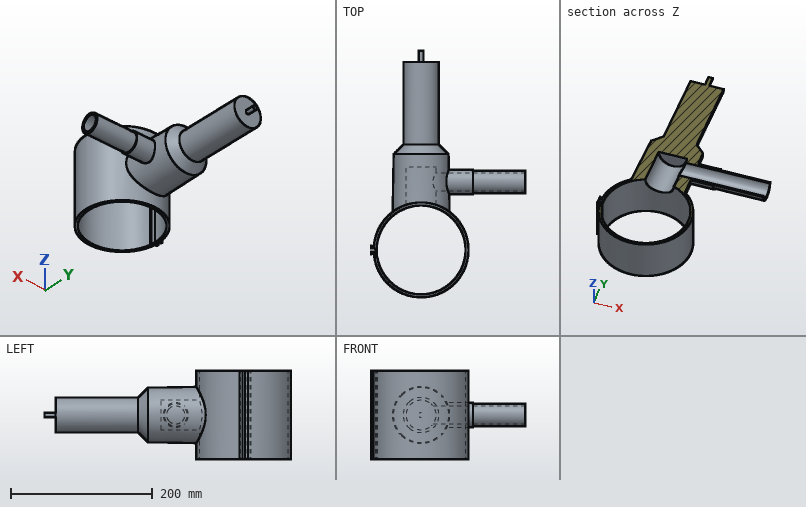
import cadquery as cq

RING_INNER_RADIUS = 62.5
RING_WALL = 4.5
RING_OUTER_RADIUS = RING_INNER_RADIUS + RING_WALL
RING_HEIGHT = 125.0

SPLIT_GAP = 4.0
SPLIT_CORNER_RADIUS = 1.8
LAP_RADIUS = 64.2
LAP_CLEARANCE = 0.15
TONGUE_END_Y = -8.7
LAP_END_Y = -10.4

FLANGE_TIP_X = -70.48
FLANGE_ROOT_X = -RING_OUTER_RADIUS + RING_WALL / 3
FLANGE_ROOT_THICKNESS = 1.8
FLANGE_TIP_THICKNESS = 4.2

NOZZLE_AXIS_RADIUS = 41.3
NOZZLE_SHOULDER_RADIUS = 38.9
NOZZLE_SHOULDER_Y = 134.9
PIPE_RADIUS = 25.0
PIPE_START_Y = 148.7
PIPE_END_Y = 265.2
ROD_RADIUS = 3.5
ROD_END_Y = 281.1

BRANCH_Y = 95.8
SOCKET_RADIUS = 17.5
SOCKET_END_X = 73.0
BRANCH_PIPE_RADIUS = 16.0
BRANCH_END_X = 147.0

BORE_RADIUS = 21.0
BORE_END_Y = BRANCH_Y + BORE_RADIUS
BRANCH_BORE_RADIUS = 12.8


def ring_cylinder(radius):
    """Solid cylinder of the ring's height about the Z axis."""
    return cq.Workplane("XY").circle(radius).extrude(RING_HEIGHT / 2, both=True)


def prism(points):
    """Outline in XY carried over the full ring height."""
    return cq.Workplane("XY").polyline(points).close().extrude(RING_HEIGHT / 2, both=True)


def block(x_min, x_max, y_min, y_max):
    return prism([(x_min, y_min), (x_max, y_min), (x_max, y_max), (x_min, y_max)])


def make_nozzle():
    """Tapered body, conical shoulder, pipe and end rod, turned about the Y axis."""
    profile = [
        (0, 0),
        (NOZZLE_AXIS_RADIUS, 0),
        (NOZZLE_SHOULDER_RADIUS, NOZZLE_SHOULDER_Y),
        (PIPE_RADIUS, PIPE_START_Y),
        (PIPE_RADIUS, PIPE_END_Y),
        (ROD_RADIUS, PIPE_END_Y),
        (ROD_RADIUS, ROD_END_Y),
        (0, ROD_END_Y),
    ]
    return cq.Workplane("XY").polyline(profile).close().revolve(360, (0, 0, 0), (0, 1, 0))


def make_branch():
    """Side socket with a slightly thinner pipe leaving it."""
    start = cq.Workplane("YZ", origin=(0, BRANCH_Y, 0))
    socket = start.circle(SOCKET_RADIUS).extrude(SOCKET_END_X)
    pipe = start.circle(BRANCH_PIPE_RADIUS).extrude(BRANCH_END_X)
    return socket.union(pipe)


def make_bores():
    """Main bore from the ring axis and the branch bore running out through the side pipe."""
    main = cq.Workplane("XZ").circle(BORE_RADIUS).extrude(-BORE_END_Y)
    side = cq.Workplane("YZ", origin=(0, BRANCH_Y, 0)).circle(BRANCH_BORE_RADIUS).extrude(BRANCH_END_X)
    return main.union(side)


def make_flange(side):
    """Wedge flange beside the split; side is +1 or -1 along Y."""
    gap_y = side * SPLIT_GAP / 2
    return prism([
        (FLANGE_TIP_X, gap_y),
        (FLANGE_ROOT_X, gap_y),
        (FLANGE_ROOT_X, gap_y + side * FLANGE_ROOT_THICKNESS),
        (FLANGE_TIP_X, gap_y + side * FLANGE_TIP_THICKNESS),
    ])


def make_split():
    """Space removed at the split: gap with a rounded corner, slit over the tongue, gap at its end."""
    gap = block(FLANGE_TIP_X, -LAP_RADIUS, -SPLIT_GAP / 2, SPLIT_GAP / 2)
    gap = gap.edges("|Z").edges(">X").edges(">Y").fillet(SPLIT_CORNER_RADIUS)

    lap_sector = block(FLANGE_TIP_X, 0, LAP_END_Y, 0)
    over_tongue = ring_cylinder(LAP_RADIUS + LAP_CLEARANCE)
    slit = over_tongue.cut(ring_cylinder(LAP_RADIUS)).intersect(lap_sector)
    end_gap = over_tongue.intersect(block(FLANGE_TIP_X, 0, LAP_END_Y, TONGUE_END_Y))
    end_gap = end_gap.cut(ring_cylinder(RING_INNER_RADIUS))
    return gap.union(slit).union(end_gap)


body = ring_cylinder(RING_OUTER_RADIUS).union(make_nozzle()).union(make_branch())
body = body.cut(ring_cylinder(RING_INNER_RADIUS)).cut(make_bores())
for flange_side in (1, -1):
    body = body.union(make_flange(flange_side))
result = body.cut(make_split())